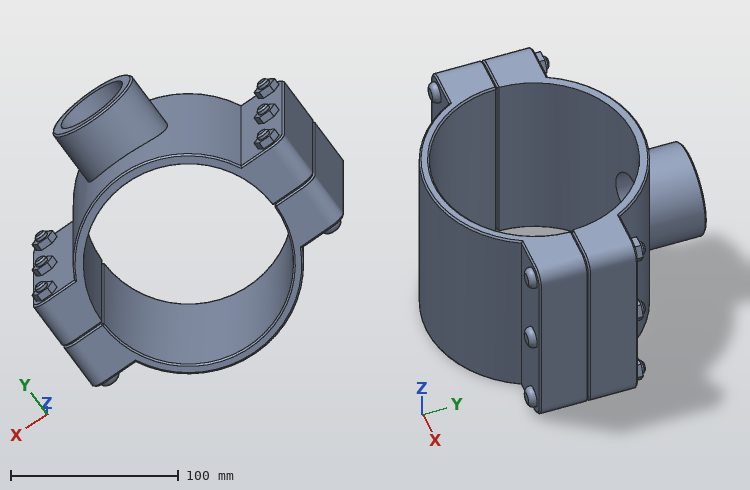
import cadquery as cq
import math


length = 124.0
width = 184.0
shell_radius = 68.6
bore_radius = 62.5
flange_height = 31.3
flange_corner_radius = 9.5
edge_chamfer = 1.1
length_tolerance = 0.02

spigot_diameter = 58.3
spigot_end = 98.8
socket_diameter = 44.9
port_diameter = 40.0
socket_floor = 73.0
spigot_root_radius = (shell_radius + bore_radius) / 2

bolt_x = 81.3
bolt_pitch = 51.3
bolt_diameter = 8.0
bolt_end = 39.0
bolt_chamfer = 1.3
nut_across_flats = 13.0
nut_across_corners = nut_across_flats / math.cos(math.pi / 6)
nut_height = 4.6
head_diameter = 13.0
head_height = 4.5
head_rim = 0.7
head_flat_diameter = 7.4
dome_bulge = 0.83

junction_x = math.sqrt(shell_radius**2 - flange_height**2)


def z_cylinder(radius):
    """Cylinder along Z over the full length of the clamp."""
    return cq.Workplane("XY").circle(radius).extrude(length / 2, both=True)


def y_cylinder(diameter, start, end):
    """Cylinder along Y between two Y positions, centred on X = Z = 0."""
    return cq.Workplane("XZ", origin=(0, start, 0)).circle(diameter / 2).extrude(start - end)


def is_junction(edge):
    """True for the inner corners between the flange faces and the shell."""
    return math.isclose(abs(edge.Center().x), junction_x, abs_tol=length_tolerance)


def half_shell(side, chamfer_bore_ends):
    """Half of the clamp on the +Y (side = 1) or -Y (side = -1) side of the split plane."""
    split_face = "<Y" if side > 0 else ">Y"
    flange_face = ">Y" if side > 0 else "<Y"
    flanges = (
        cq.Workplane("XY")
        .box(width, 2 * flange_height, length)
        .edges("|Y")
        .fillet(flange_corner_radius)
    )
    half_space = cq.Workplane("XY").box(width, width, length).translate((0, side * width / 2, 0))
    bore = z_cylinder(bore_radius)

    half = z_cylinder(shell_radius).union(flanges).intersect(half_space)
    if chamfer_bore_ends:
        half = half.cut(bore)

    end_arcs = half.faces("|Z").edges("%CIRCLE")
    flange_faces = half.faces("|Y").faces(flange_face)
    flange_rim = flange_faces.edges().filter(lambda edge: not is_junction(edge))
    half = half.newObject(end_arcs.vals() + flange_rim.vals()).chamfer(edge_chamfer)
    if not chamfer_bore_ends:
        half = half.cut(bore)
    return half.faces(split_face).edges().chamfer(edge_chamfer)


def add_spigot(body):
    """Round outlet on the +Y half, with a socket stepping down to the port through the wall."""
    spigot = y_cylinder(spigot_diameter, 0, spigot_end).faces(">Y").chamfer(edge_chamfer)
    spigot = spigot.cut(z_cylinder(spigot_root_radius))
    port = y_cylinder(port_diameter, 0, spigot_end)
    socket = y_cylinder(socket_diameter, socket_floor, spigot_end)
    return body.union(spigot).cut(port).cut(socket)


def bolt():
    """Button-head bolt along Y with its hex nut, centred on X = Z = 0."""
    shank = y_cylinder(bolt_diameter, -flange_height, bolt_end).faces(">Y").chamfer(bolt_chamfer)
    nut = (
        cq.Workplane("XZ", origin=(0, flange_height, 0))
        .polygon(6, nut_across_corners)
        .extrude(-nut_height)
    )
    rim_y = -flange_height - head_rim
    top_y = -flange_height - head_height
    head = (
        cq.Workplane("XY")
        .moveTo(0, -flange_height)
        .lineTo(head_diameter / 2, -flange_height)
        .lineTo(head_diameter / 2, rim_y)
        .sagittaArc((head_flat_diameter / 2, top_y), dome_bulge)
        .lineTo(0, top_y)
        .close()
        .revolve(360, (0, 0, 0), (0, 1, 0))
    )
    return shank.union(nut).union(head)


result = half_shell(1, chamfer_bore_ends=False).union(half_shell(-1, chamfer_bore_ends=True))
result = add_spigot(result)
for x in (-bolt_x, bolt_x):
    for z in (-bolt_pitch, 0, bolt_pitch):
        result = result.union(bolt().translate((x, 0, z)))